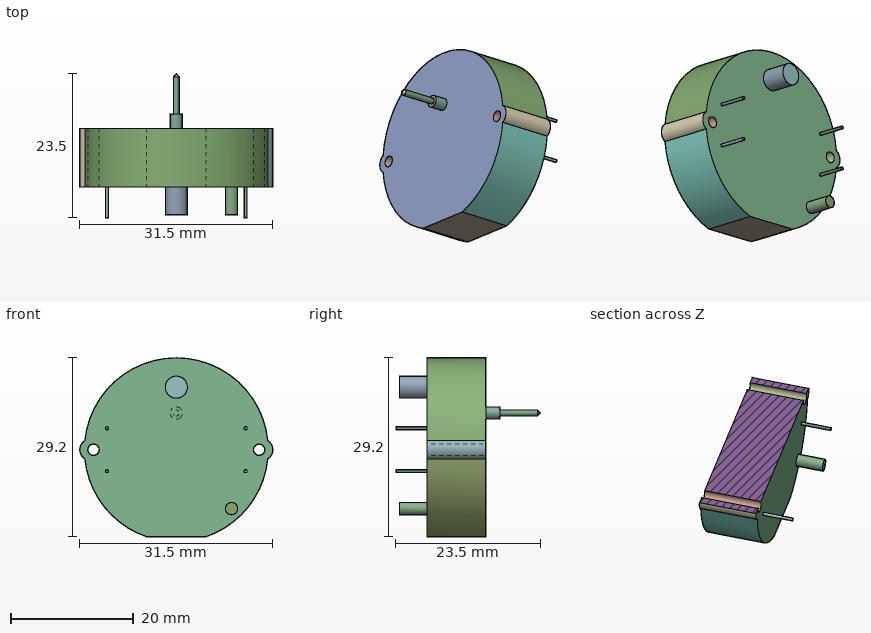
import cadquery as cq
import math

housing_radius = 15.0
housing_depth = 9.6
flat_drop = 14.2
flat_half_width = math.sqrt(housing_radius**2 - flat_drop**2)

ear_radius = 1.75
ear_x = 14.0
ear_reach = ear_x + ear_radius
ear_root_x = (housing_radius**2 + ear_x**2 - ear_radius**2) / (2 * ear_x)
ear_half_height = math.sqrt(housing_radius**2 - ear_root_x**2)
ear_hole_diameter = 1.8
ear_hole_x = 13.5

post_length = 4.5
large_post_diameter = 3.6
large_post_position = (0.0, 10.2)
small_post_diameter = 2.0
small_post_position = (9.0, -9.6)

shaft_position = (0.0, 6.0)
bushing_diameter = 2.0
bushing_length = 2.3
shaft_diameter = 1.0
shaft_straight_length = 6.1
shaft_point_length = shaft_diameter / 2

pin_diameter = 0.5
pin_length = 5.0
pin_x = 11.3
pin_z = 3.5


def plane_at(y):
    """XZ plane at the given Y, with +X right, +Z up and its normal toward -Y."""
    return cq.Workplane("XZ", origin=(0, y, 0))


def make_cylinder(position, diameter, start_y, end_y):
    """Round bar along Y, centred on the (x, z) position."""
    return plane_at(end_y).center(*position).circle(diameter / 2).extrude(end_y - start_y)


def make_drum():
    """Drum with a bottom flat, two rounded ears and a through hole in each ear."""
    outline = (
        plane_at(housing_depth)
        .moveTo(-flat_half_width, -flat_drop)
        .lineTo(flat_half_width, -flat_drop)
        .radiusArc((ear_root_x, -ear_half_height), -housing_radius)
        .threePointArc((ear_reach, 0), (ear_root_x, ear_half_height))
        .threePointArc((0, housing_radius), (-ear_root_x, ear_half_height))
        .threePointArc((-ear_reach, 0), (-ear_root_x, -ear_half_height))
        .radiusArc((-flat_half_width, -flat_drop), -housing_radius)
        .close()
    )
    drum = outline.extrude(housing_depth)
    for side in (-1, 1):
        drum = drum.cut(make_cylinder((side * ear_hole_x, 0), ear_hole_diameter, 0, housing_depth))
    return drum


def make_housing():
    """Drum with its two locating posts and the shaft bushing."""
    large_post = make_cylinder(large_post_position, large_post_diameter, -post_length, 0)
    small_post = make_cylinder(small_post_position, small_post_diameter, -post_length, 0)
    bushing = make_cylinder(
        shaft_position, bushing_diameter, housing_depth, housing_depth + bushing_length
    )
    return make_drum().union(large_post).union(small_post).union(bushing)


def make_shaft():
    """Shaft standing on the bushing end, turned about its own axis, with a conical point."""
    x, z = shaft_position
    radius = shaft_diameter / 2
    return (
        cq.Workplane("XY", origin=(x, housing_depth + bushing_length, z))
        .lineTo(radius, 0)
        .lineTo(radius, shaft_straight_length)
        .lineTo(0, shaft_straight_length + shaft_point_length)
        .close()
        .revolve(360, (0, 0, 0), (0, 1, 0))
    )


def make_pin(position):
    """Contact pin standing on the pin face."""
    return make_cylinder(position, pin_diameter, -pin_length, 0)


housing = make_housing()
shaft = make_shaft()
pins = []
for x in (-pin_x, pin_x):
    for z in (-pin_z, pin_z):
        pins.append(make_pin((x, z)).val())

result = cq.Compound.makeCompound([housing.val(), shaft.val(), *pins])